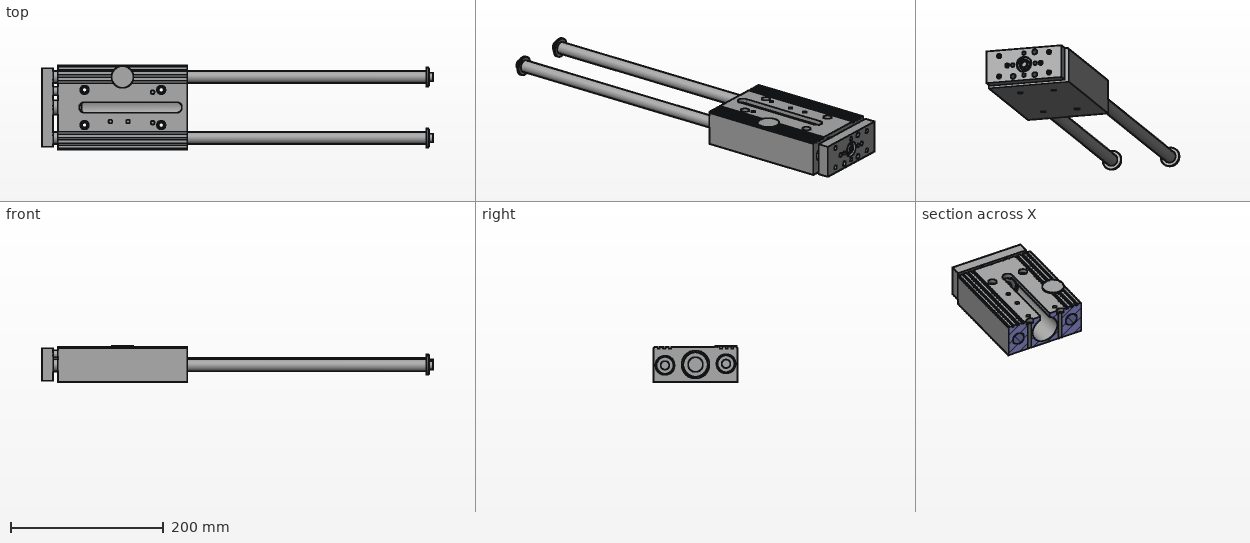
import cadquery as cq

OVERALL_LENGTH = 511.5

HOUSING_START = 21.0
HOUSING_LENGTH = 169.5
HOUSING_END = HOUSING_START + HOUSING_LENGTH
HOUSING_WIDTH = 110.0
HOUSING_HEIGHT = 46.0
EDGE_CHAMFER = 1.5
AXIS_Z = HOUSING_HEIGHT / 2

GROOVES = [(33.0, 3.0), (41.0, 3.0), (48.0, 2.0)]
GROOVE_DEPTH = 2.0

COVER_X = 105.5
COVER_DIAMETER = 28.5
COVER_HEIGHT = 1.5

BORE_DIAMETER = 36.5
BORE_START = 52.0
NECK_DIAMETER = 31.5
SLOT_START = 49.0
SLOT_END = 183.0
SLOT_WIDTH = 14.0

MOUNT_X = 106.0
MOUNT_SPACING_X = 100.0
MOUNT_SPACING_Y = 46.0
MOUNT_DIAMETER = 6.5
MOUNT_HEAD_DIAMETER = 11.0
MOUNT_HEAD_DEPTH = 6.0

SMALL_HOLE_POSITIONS = [(145.0, 20.0), (145.0, -20.0), (89.5, -18.5), (112.5, -18.5)]
SMALL_HOLE_DIAMETER = 5.0
SMALL_HOLE_DEPTH = 6.0

PLATE_THICKNESS = 15.0
PLATE_WIDTH = 103.0
PLATE_HEIGHT = 43.0

SEAT_DIAMETER = 20.0
SEAT_DEPTH = 5.0
SCREW_DIAMETER = 13.5
SCREW_SOCKET_DIAMETER = 8.0
SCREW_CHAMFER = 2.0
SCREW_SOCKET_DEPTH = 3.0

CORNER_Y = 34.5
CORNER_RISE = 14.0
CORNER_POSITIONS = [(y, z) for y in (-CORNER_Y, CORNER_Y) for z in (-CORNER_RISE, CORNER_RISE)]
OUTER_ROW_Y = 23.0
STEPPED_POSITIONS = CORNER_POSITIONS + [(-OUTER_ROW_Y, 0), (OUTER_ROW_Y, 0)]
STEPPED_DIAMETER = 4.15
STEPPED_MOUTH_DIAMETER = 5.5
STEPPED_MOUTH_DEPTH = 5.0
PLAIN_Y = 15.5
PLAIN_RISE = 15.0
PLAIN_POSITIONS = [(-PLAIN_Y, 0), (PLAIN_Y, 0), (0, -PLAIN_RISE), (0, PLAIN_RISE)]
PLAIN_DIAMETER = 4.9
LARGE_Y = 15.0
LARGE_RISE = 15.5
LARGE_POSITIONS = [(-LARGE_Y, LARGE_RISE), (-LARGE_Y, -LARGE_RISE), (LARGE_Y, -LARGE_RISE)]
LARGE_DIAMETER = 6.5

ROD_Y = 40.0
ROD_DIAMETER = 16.0
ROD_RISE = 1.0
WASHER_START = 502.5
WASHER_THICKNESS = 4.0
WASHER_DIAMETER = 25.0
WASHER_CHAMFER = 1.5
END_SCREW_DIAMETER = 11.0

PISTON_ROD_DIAMETER = 19.5
BUFFER_Y = 21.5
BUFFER_RISE = 13.5
BUFFER_DIAMETER = 11.0


def cylinder_x(start, end, diameter, y=0, rise=0):
    """Cylinder along X, its axis at the given Y and height above the slide axis."""
    plane = cq.Workplane("YZ", origin=(start, y, AXIS_Z + rise))
    return plane.circle(diameter / 2).extrude(end - start)


def cylinder_down(x, y, diameter, depth):
    """Vertical cylinder reaching down from the housing top."""
    plane = cq.Workplane("XY", origin=(x, y, HOUSING_HEIGHT))
    return plane.circle(diameter / 2).extrude(-depth)


def housing_block():
    block = (
        cq.Workplane("XY")
        .box(HOUSING_LENGTH, HOUSING_WIDTH, HOUSING_HEIGHT, centered=(False, True, False))
        .translate((HOUSING_START, 0, 0))
        .faces(">Z").edges("|X").chamfer(EDGE_CHAMFER)
    )
    for offset, width in GROOVES:
        for side in (-1, 1):
            groove = cq.Workplane("XY").box(
                HOUSING_LENGTH, width, GROOVE_DEPTH, centered=(False, True, False)
            )
            block = block.cut(
                groove.translate((HOUSING_START, side * offset, HOUSING_HEIGHT - GROOVE_DEPTH))
            )
    return block


def cut_bore_and_slot(block):
    block = block.cut(cylinder_x(SLOT_START, BORE_START, NECK_DIAMETER))
    block = block.cut(cylinder_x(BORE_START, HOUSING_END, BORE_DIAMETER))
    slot = (
        cq.Workplane("XY", origin=((SLOT_START + SLOT_END) / 2, 0, AXIS_Z))
        .slot2D(SLOT_END - SLOT_START, SLOT_WIDTH)
        .extrude(HOUSING_HEIGHT - AXIS_Z)
    )
    return block.cut(slot)


def cut_top_holes(block):
    for side_x in (-1, 1):
        for side_y in (-1, 1):
            x = MOUNT_X + side_x * MOUNT_SPACING_X / 2
            y = side_y * MOUNT_SPACING_Y / 2
            block = block.cut(cylinder_down(x, y, MOUNT_DIAMETER, HOUSING_HEIGHT))
            block = block.cut(cylinder_down(x, y, MOUNT_HEAD_DIAMETER, MOUNT_HEAD_DEPTH))
    for x, y in SMALL_HOLE_POSITIONS:
        block = block.cut(cylinder_down(x, y, SMALL_HOLE_DIAMETER, SMALL_HOLE_DEPTH))
    return block


def make_housing():
    block = cut_top_holes(cut_bore_and_slot(housing_block()))
    for side in (-1, 1):
        block = block.cut(cylinder_x(HOUSING_START, HOUSING_END, ROD_DIAMETER, side * ROD_Y, side * ROD_RISE))
    block = block.cut(cylinder_x(HOUSING_START, SLOT_START, PISTON_ROD_DIAMETER))
    cover_base = HOUSING_HEIGHT - GROOVE_DEPTH
    cover = (
        cq.Workplane("XY", origin=(COVER_X, ROD_Y, cover_base))
        .circle(COVER_DIAMETER / 2)
        .extrude(GROOVE_DEPTH + COVER_HEIGHT)
    )
    return block.union(cover)


def make_screw():
    """Chamfered screw head with a round socket, standing in the seat of the plate."""
    screw = cylinder_x(0, SEAT_DEPTH, SCREW_DIAMETER).faces("<X").chamfer(SCREW_CHAMFER)
    return screw.cut(cylinder_x(0, SCREW_SOCKET_DEPTH, SCREW_SOCKET_DIAMETER))


def make_plate():
    plate = cq.Workplane("XY").box(
        PLATE_THICKNESS, PLATE_WIDTH, PLATE_HEIGHT, centered=(False, True, True)
    )
    plate = plate.translate((0, 0, AXIS_Z))
    for y, rise in STEPPED_POSITIONS:
        plate = plate.cut(cylinder_x(0, PLATE_THICKNESS, STEPPED_DIAMETER, y, rise))
        plate = plate.cut(cylinder_x(0, STEPPED_MOUTH_DEPTH, STEPPED_MOUTH_DIAMETER, y, rise))
    for y, rise in PLAIN_POSITIONS:
        plate = plate.cut(cylinder_x(0, PLATE_THICKNESS, PLAIN_DIAMETER, y, rise))
    for y, rise in LARGE_POSITIONS:
        plate = plate.cut(cylinder_x(0, PLATE_THICKNESS, LARGE_DIAMETER, y, rise))
    return plate.cut(cylinder_x(0, SEAT_DEPTH, SEAT_DIAMETER)).union(make_screw())


def make_guide_rod(y, rise):
    washer_end = WASHER_START + WASHER_THICKNESS
    rod = cylinder_x(PLATE_THICKNESS, WASHER_START, ROD_DIAMETER, y, rise)
    washer = cylinder_x(WASHER_START, washer_end, WASHER_DIAMETER, y, rise)
    washer = washer.faces(">X").chamfer(WASHER_CHAMFER)
    end_screw = cylinder_x(washer_end, OVERALL_LENGTH, END_SCREW_DIAMETER, y, rise)
    return rod.union(washer).union(end_screw)


def make_slide():
    slide = make_plate()
    for side in (-1, 1):
        slide = slide.union(make_guide_rod(side * ROD_Y, side * ROD_RISE))
    slide = slide.union(cylinder_x(PLATE_THICKNESS, SLOT_START, PISTON_ROD_DIAMETER))
    buffer_pin = cylinder_x(PLATE_THICKNESS, HOUSING_START, BUFFER_DIAMETER, BUFFER_Y, BUFFER_RISE)
    return slide.union(buffer_pin)


housing = make_housing()
slide = make_slide()
result = cq.Compound.makeCompound([housing.val(), slide.val()])